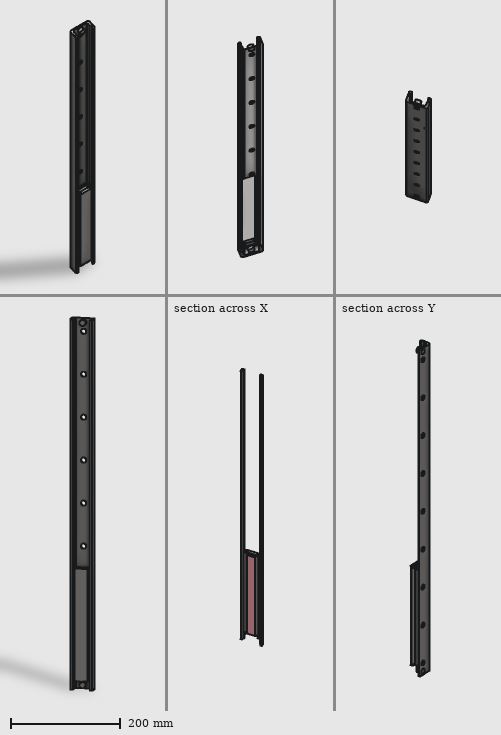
import cadquery as cq

rail_length = 690.0
rail_width = 43.0
rail_depth = 21.0
web_thickness = 3.5
flange_thickness = 5.5
back_chamfer = 2.4
lip_chamfer = 1.7
channel_chamfer = 2.0

rail_track_radius = 3.1
rail_track_x = 14.15
rail_track_y = 15.5
slider_track_radius = 3.5
slider_track_x = 15.0
slider_track_y = 11.0

hole_diameter = 10.0
hole_pitch = 80.0
hole_count = 9

stop_inset = 7.5
stop_hole_diameter = 10.5
stop_shank_diameter = 10.0
stop_head_diameter = 12.0
stop_head_height = 7.5

slider_bottom = 16.5
slider_length = 210.0
slider_width = 24.0
slider_back_x = 8.0
slider_step_x = 16.5
slider_front_x = 22.0
slider_step_length = 3.5

cage_back_x = 5.5
cage_front_x = 21.0
cage_width = 29.0
cage_thickness = 2.0


def bar(back_x, front_x, width, bottom, length):
    """A rectangular bar along Z, centred on Y = 0."""
    middle_x = (back_x + front_x) / 2
    return cq.Workplane("XY", origin=(middle_x, 0, bottom)).rect(front_x - back_x, width).extrude(length)


def lengthwise_rod(x, y, radius, bottom, length):
    """A round rod along Z."""
    return cq.Workplane("XY", origin=(x, y, bottom)).circle(radius).extrude(length)


def cross_rod(z, diameter, back_x, front_x):
    """A round rod along X on the centre line of the rail."""
    return cq.Workplane("YZ", origin=(back_x, 0, z)).circle(diameter / 2).extrude(front_x - back_x)


def make_rail():
    body = bar(0, rail_depth, rail_width, 0, rail_length)
    body = body.edges("|Z and <X").chamfer(back_chamfer)
    body = body.edges("|Z and >X").chamfer(lip_chamfer)

    channel_width = rail_width - 2 * flange_thickness
    channel = bar(web_thickness, rail_depth, channel_width, 0, rail_length)
    body = body.cut(channel.edges("|Z and <X").chamfer(channel_chamfer))

    for side in (-1, 1):
        track = lengthwise_rod(rail_track_x, side * rail_track_y, rail_track_radius, 0, rail_length)
        body = body.cut(track)

    first_hole_z = (rail_length - (hole_count - 1) * hole_pitch) / 2
    for i in range(hole_count):
        body = body.cut(cross_rod(first_hole_z + i * hole_pitch, hole_diameter, 0, web_thickness))
    for z in stop_heights:
        body = body.cut(cross_rod(z, stop_hole_diameter, 0, web_thickness))
    return body


def make_end_stop(z):
    shank = cross_rod(z, stop_shank_diameter, 0, web_thickness)
    head = cross_rod(z, stop_head_diameter, web_thickness, web_thickness + stop_head_height)
    return shank.union(head)


def make_slider():
    front_plate = bar(slider_step_x, slider_front_x, slider_width, slider_bottom, slider_length)
    back_part = bar(
        slider_back_x,
        slider_step_x,
        slider_width,
        slider_bottom + slider_step_length,
        slider_length - 2 * slider_step_length,
    )
    body = front_plate.union(back_part)
    for side in (-1, 1):
        track = lengthwise_rod(
            slider_track_x, side * slider_track_y, slider_track_radius, slider_bottom, slider_length
        )
        body = body.cut(track)
    return body


def make_cage():
    outside = bar(cage_back_x, cage_front_x, cage_width, slider_bottom, slider_length)
    inside_width = cage_width - 2 * cage_thickness
    inside = bar(cage_back_x + cage_thickness, cage_front_x, inside_width, slider_bottom, slider_length)
    return outside.cut(inside)


stop_heights = [stop_inset, rail_length - stop_inset]

rail = make_rail()
end_stops = [make_end_stop(z).val() for z in stop_heights]
slider = make_slider()
cage = make_cage()

result = cq.Compound.makeCompound([rail.val(), *end_stops, slider.val(), cage.val()])